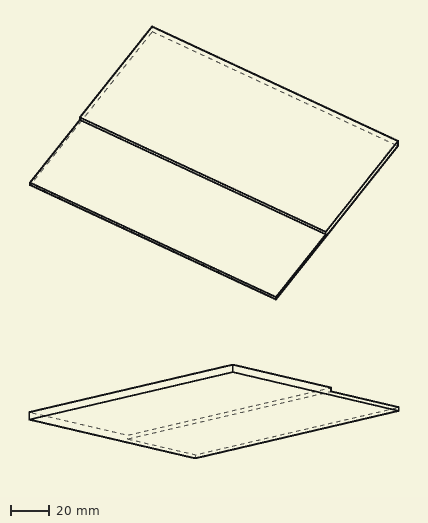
import cadquery as cq

width = 150.0
depth = 122.4
thick_height = 4.0

ledge_depth = 50.0
ledge_height = thick_height / 2

profile = [
    (0, 0),
    (depth, 0),
    (depth, thick_height),
    (ledge_depth, thick_height),
    (ledge_depth, ledge_height),
    (0, ledge_height),
]

result = cq.Workplane("YZ").polyline(profile).close().extrude(width)